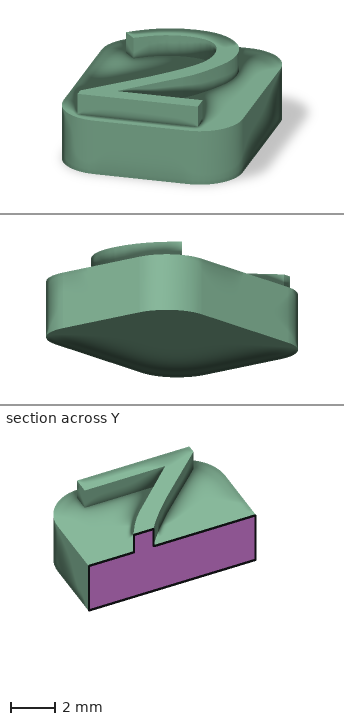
import cadquery as cq

base_width = 8.4
base_length = 10.3
base_height = 2.6
corner_radius = 2.0

figure_height = 1.0
figure_left = -3.12
figure_right = 2.52
figure_bottom = -4.62
figure_top = 4.25
foot_thickness = 0.8
crown_thickness = 0.87
bowl_side_thickness = 1.0
heel_height = 0.42

crown_outer_x = -0.05
crown_inner_x = -0.24
bowl_outer_y = 1.85
bowl_inner_y = 1.62

tip_outer = (-3.04, 3.10)
tip_inner = (-2.53, 2.53)
tip_outer_direction = (-1.0, -0.8)
tip_inner_direction = (1.0, 0.7)

haunch_outer = (1.90, 3.47)
shoulder_outer = (2.02, 0.16)
shoulder_inner = (0.92, -0.02)
stem_inner_middle = (-0.36, -1.53)

stem_outer_end = (0.92, -1.42)
stem_inner_end = (-2.66, -3.75)
foot_inner_x = -1.52


def make_base():
    block = cq.Workplane("XY").box(base_width, base_length, base_height, centered=(True, True, False))
    return block.edges("|Z").fillet(corner_radius)


def make_figure():
    foot_top = figure_bottom + foot_thickness
    crown_outer = (crown_outer_x, figure_top)
    crown_inner = (crown_inner_x, figure_top - crown_thickness)
    bowl_outer = (figure_right, bowl_outer_y)
    bowl_inner = (figure_right - bowl_side_thickness, bowl_inner_y)
    foot_inner = (foot_inner_x, foot_top)
    heel_top = (figure_left, figure_bottom + heel_height)

    right, left, up, down = (1, 0), (-1, 0), (0, 1), (0, -1)
    stem_outer_direction = (stem_outer_end[0] - foot_inner[0], stem_outer_end[1] - foot_inner[1])
    stem_inner_direction = (heel_top[0] - stem_inner_end[0], heel_top[1] - stem_inner_end[1])

    outline = (
        cq.Workplane("XY", origin=(0, 0, base_height))
        .moveTo(figure_left, figure_bottom)
        .lineTo(figure_right, figure_bottom)
        .lineTo(figure_right, foot_top)
        .lineTo(*foot_inner)
        .lineTo(*stem_outer_end)
        .spline([shoulder_outer, bowl_outer], tangents=[stem_outer_direction, up], includeCurrent=True)
        .spline([haunch_outer, crown_outer], tangents=[up, left], includeCurrent=True)
        .spline([tip_outer], tangents=[left, tip_outer_direction], includeCurrent=True)
        .lineTo(*tip_inner)
        .spline([crown_inner], tangents=[tip_inner_direction, right], includeCurrent=True)
        .spline([bowl_inner], tangents=[right, down], includeCurrent=True)
        .spline([shoulder_inner, stem_inner_middle, stem_inner_end],
                tangents=[down, stem_inner_direction], includeCurrent=True)
        .lineTo(*heel_top)
        .close()
    )
    return outline.extrude(figure_height)


result = make_base().union(make_figure())